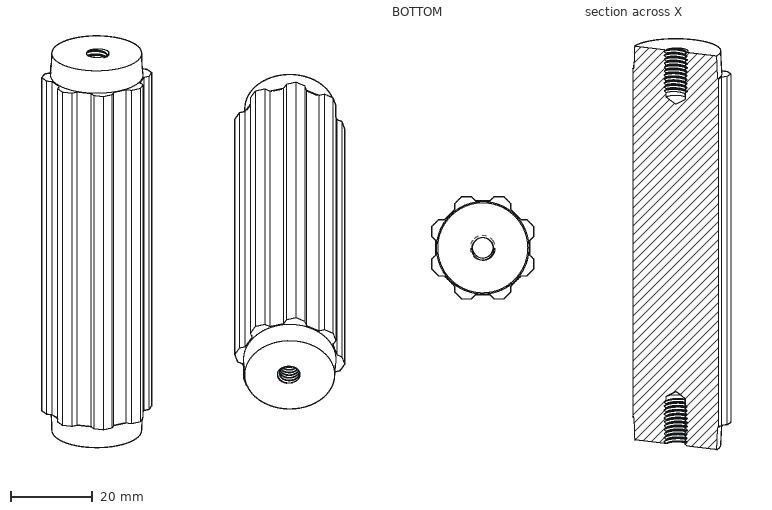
import cadquery as cq
import math

length = 100.0
middle_z = length / 2
across_flats = 25.0
side_count = 8

collar_end_diameter = 22.0
collar_base_diameter = 22.6
collar_height = 5.8

flute_depth = 1.0
flute_floor_width = 3.5

core_diameter = 5.0
thread_diameter = 6.1
thread_pitch = 1.0
groove_width = 0.9
groove_overlap = 0.1
hole_depth = 12.0
drill_point_angle = 118.0
thread_start_angle = 90.0


def make_upper_grip():
    """Upper half of the octagonal grip, with a flute along every face."""
    face_x = across_flats / 2
    floor_x = face_x - flute_depth
    half_floor = flute_floor_width / 2
    half_mouth = half_floor + flute_depth
    half_grip_length = middle_z - collar_height
    corner_diameter = across_flats / math.cos(math.pi / side_count)

    grip = (
        cq.Workplane("XY", origin=(0, 0, middle_z))
        .transformed(rotate=(0, 0, 180 / side_count))
        .polygon(side_count, corner_diameter)
        .extrude(half_grip_length)
    )
    flute = (
        cq.Workplane("XY", origin=(0, 0, middle_z))
        .polyline([
            (floor_x, -half_floor),
            (face_x, -half_mouth),
            (face_x, half_mouth),
            (floor_x, half_floor),
        ])
        .close()
        .extrude(half_grip_length)
    )
    for index in range(side_count):
        grip = grip.cut(flute.rotate((0, 0, 0), (0, 0, 1), index * 360 / side_count))
    return grip


def make_top_collar():
    """Drafted collar at the top end, its wide side against the grip."""
    base_z = length - collar_height
    return (
        cq.Workplane("XZ")
        .polyline([
            (0, base_z),
            (collar_base_diameter / 2, base_z),
            (collar_end_diameter / 2, length),
            (0, length),
        ])
        .close()
        .revolve(360, (0, 0, 0), (0, 1, 0))
    )


def make_top_hole():
    """Drilled hole with a conical bottom, opening at the top end."""
    core_radius = core_diameter / 2
    floor_z = length - hole_depth
    tip_z = floor_z - core_radius / math.tan(math.radians(drill_point_angle / 2))
    return (
        cq.Workplane("XZ")
        .polyline([(0, tip_z), (core_radius, floor_z), (core_radius, length), (0, length)])
        .close()
        .revolve(360, (0, 0, 0), (0, 1, 0))
    )


def make_top_thread():
    """Helical V-groove in the wall of the top hole, running out through the end face."""
    core_radius = core_diameter / 2
    inner_radius = core_radius - groove_overlap
    half_width = groove_width / 2
    helix = cq.Wire.makeHelix(thread_pitch, hole_depth, inner_radius)
    groove = (
        cq.Workplane("XZ")
        .polyline([
            (inner_radius, -half_width),
            (thread_diameter / 2, 0),
            (inner_radius, half_width),
        ])
        .close()
        .sweep(cq.Workplane(helix), isFrenet=True)
    )
    groove = groove.rotate((0, 0, 0), (0, 0, 1), thread_start_angle)
    return groove.translate((0, 0, length - hole_depth + thread_pitch))


upper_half = make_upper_grip().union(make_top_collar())
upper_half = upper_half.cut(make_top_hole()).cut(make_top_thread())
lower_half = upper_half.mirror("XY", (0, 0, middle_z))
result = upper_half.union(lower_half)